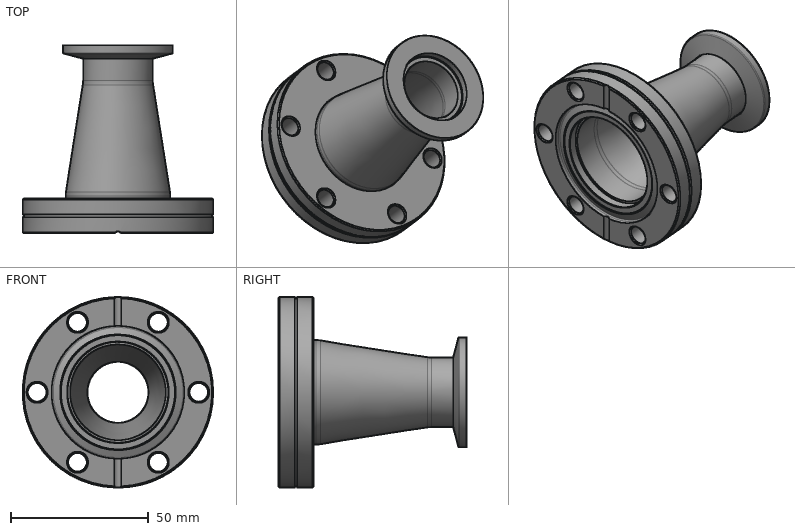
import cadquery as cq
import math

TOTAL_LENGTH = 68.42

FLANGE_DIAMETER = 69.3
FLANGE_THICKNESS = 12.8
FLANGE_CHAMFER = 0.5
RIM_GROOVE_RADIUS = 0.5
FLANGE_BORE = 36.6
BORE_CHAMFER = 0.2
FLANGE_SOCKET = 38.35
SHOULDER_DEPTH = 4.3
GASKET_RECESS = 48.26
RECESS_CORNER_RADIUS = 0.38
KNIFE_TIP_DIAMETER = 42.1
KNIFE_ROOT_DIAMETER = 41.4
KNIFE_TIP_DEPTH = 0.85
KNIFE_FLOOR_DEPTH = 1.05
KNIFE_SLOPE = 20.0

BOLT_COUNT = 6
BOLT_CIRCLE = 58.7
BOLT_HOLE = 6.73
BOLT_HOLE_CHAMFER = 0.5
LEAK_GROOVE_WIDTH = 2.5
LEAK_GROOVE_DEPTH = 0.65

LARGE_TUBE = 38.1
SMALL_TUBE = 25.4
SMALL_BORE = 22.1
WALL = (SMALL_TUBE - SMALL_BORE) / 2
CONE_START = 14.44
CONE_END = 54.79
CONE_BEND_RADIUS = 10.0

CLAMP_DIAMETER = 40.0
CLAMP_SOCKET = 25.7
CLAMP_CENTRING_BORE = 26.2
CLAMP_CENTRING_DEPTH = 3.0
CLAMP_RIM_WIDTH = 3.0
CLAMP_TAPER = 15.0
CLAMP_EDGE_RADIUS = 0.4


def revolve_about_y(profile):
    """Turn a closed (radius, y) outline all the way round the Y axis."""
    return profile.close().revolve(360, (0, 0, 0), (0, 1, 0))


def round_corner(before, corner, after, radius):
    """Start, middle and end of the arc that rounds the corner between two straight lines."""
    corner_point = cq.Vector(*corner)
    toward_before = (cq.Vector(*before) - corner_point).normalized()
    toward_after = (cq.Vector(*after) - corner_point).normalized()
    half_angle = toward_before.getAngle(toward_after) / 2
    setback = radius / math.tan(half_angle)
    middle_distance = radius / math.sin(half_angle) - radius
    bisector = (toward_before + toward_after).normalized()
    start = corner_point + toward_before * setback
    middle = corner_point + bisector * middle_distance
    end = corner_point + toward_after * setback
    return [point.toTuple()[:2] for point in (start, middle, end)]


def make_flange_blank():
    outer = FLANGE_DIAMETER / 2
    recess = GASKET_RECESS / 2
    tip = KNIFE_TIP_DIAMETER / 2
    bore = FLANGE_BORE / 2
    middle = FLANGE_THICKNESS / 2

    corner_depth = KNIFE_TIP_DEPTH + (recess - tip) * math.tan(math.radians(KNIFE_SLOPE))
    slope_end, corner_middle, wall_end = round_corner(
        (tip, KNIFE_TIP_DEPTH), (recess, corner_depth), (recess, 0), RECESS_CORNER_RADIUS
    )

    profile = (
        cq.Workplane("XY")
        .moveTo(recess, 0)
        .lineTo(outer - FLANGE_CHAMFER, 0)
        .lineTo(outer, FLANGE_CHAMFER)
        .lineTo(outer, middle - RIM_GROOVE_RADIUS)
        .threePointArc((outer - RIM_GROOVE_RADIUS, middle), (outer, middle + RIM_GROOVE_RADIUS))
        .lineTo(outer, FLANGE_THICKNESS - FLANGE_CHAMFER)
        .lineTo(outer - FLANGE_CHAMFER, FLANGE_THICKNESS)
        .lineTo(FLANGE_SOCKET / 2, FLANGE_THICKNESS)
        .lineTo(FLANGE_SOCKET / 2, SHOULDER_DEPTH)
        .lineTo(bore, SHOULDER_DEPTH)
        .lineTo(bore, KNIFE_FLOOR_DEPTH + BORE_CHAMFER)
        .lineTo(bore + BORE_CHAMFER, KNIFE_FLOOR_DEPTH)
        .lineTo(KNIFE_ROOT_DIAMETER / 2, KNIFE_FLOOR_DEPTH)
        .lineTo(tip, KNIFE_TIP_DEPTH)
        .lineTo(*slope_end)
        .threePointArc(corner_middle, wall_end)
    )
    return revolve_about_y(profile)


def make_bolt_hole(angle):
    """Through-hole cutter with a chamfer at both faces of the flange."""
    radius = BOLT_HOLE / 2
    mouth = radius + BOLT_HOLE_CHAMFER
    hole = revolve_about_y(
        cq.Workplane("XY")
        .lineTo(mouth, 0)
        .lineTo(radius, BOLT_HOLE_CHAMFER)
        .lineTo(radius, FLANGE_THICKNESS - BOLT_HOLE_CHAMFER)
        .lineTo(mouth, FLANGE_THICKNESS)
        .lineTo(0, FLANGE_THICKNESS)
    )
    return hole.translate((BOLT_CIRCLE / 2, 0, 0)).rotate((0, 0, 0), (0, 1, 0), angle)


def make_leak_groove():
    """Round-bottomed groove across the sealing face, running along Z."""
    half_width = LEAK_GROOVE_WIDTH / 2
    return (
        cq.Workplane("XY")
        .moveTo(-half_width, 0)
        .threePointArc((0, LEAK_GROOVE_DEPTH), (half_width, 0))
        .close()
        .extrude(FLANGE_DIAMETER, both=True)
    )


def make_flange():
    flange = make_flange_blank()
    for index in range(BOLT_COUNT):
        flange = flange.cut(make_bolt_hole(index * 360 / BOLT_COUNT))

    recess_zone = cq.Workplane("XZ").circle(GASKET_RECESS / 2).extrude(-FLANGE_THICKNESS)
    return flange.cut(make_leak_groove().cut(recess_zone))


def make_tapered_solid(large_radius, small_radius, start, end):
    """Straight end, cone and straight end, with the two bends rounded."""
    large_end = (large_radius, start)
    large_corner = (large_radius, CONE_START)
    small_corner = (small_radius, CONE_END)
    small_end = (small_radius, end)
    large_bend = round_corner(large_end, large_corner, small_corner, CONE_BEND_RADIUS)
    small_bend = round_corner(large_corner, small_corner, small_end, CONE_BEND_RADIUS)
    return revolve_about_y(
        cq.Workplane("XY")
        .moveTo(0, start)
        .lineTo(*large_end)
        .lineTo(*large_bend[0])
        .threePointArc(*large_bend[1:])
        .lineTo(*small_bend[0])
        .threePointArc(*small_bend[1:])
        .lineTo(*small_end)
        .lineTo(0, end)
    )


def make_reducer():
    end = TOTAL_LENGTH - CLAMP_CENTRING_DEPTH
    outside = make_tapered_solid(LARGE_TUBE / 2, SMALL_TUBE / 2, SHOULDER_DEPTH, end)
    inside = make_tapered_solid(LARGE_TUBE / 2 - WALL, SMALL_BORE / 2, SHOULDER_DEPTH, end)
    return outside.cut(inside)


def make_clamp_flange():
    outer = CLAMP_DIAMETER / 2
    socket = CLAMP_SOCKET / 2
    rim_start = TOTAL_LENGTH - CLAMP_RIM_WIDTH
    cone_start = rim_start - (outer - socket) * math.tan(math.radians(CLAMP_TAPER))
    centring_floor = TOTAL_LENGTH - CLAMP_CENTRING_DEPTH
    edge_start, edge_middle, edge_end = round_corner(
        (socket, cone_start), (outer, rim_start), (outer, TOTAL_LENGTH), CLAMP_EDGE_RADIUS
    )
    return revolve_about_y(
        cq.Workplane("XY")
        .moveTo(socket, cone_start)
        .lineTo(*edge_start)
        .threePointArc(edge_middle, edge_end)
        .lineTo(outer, TOTAL_LENGTH)
        .lineTo(CLAMP_CENTRING_BORE / 2, TOTAL_LENGTH)
        .lineTo(CLAMP_CENTRING_BORE / 2, centring_floor)
        .lineTo(socket, centring_floor)
    )


flange = make_flange()
reducer = make_reducer()
clamp_flange = make_clamp_flange()

result = cq.Compound.makeCompound([flange.val(), reducer.val(), clamp_flange.val()])